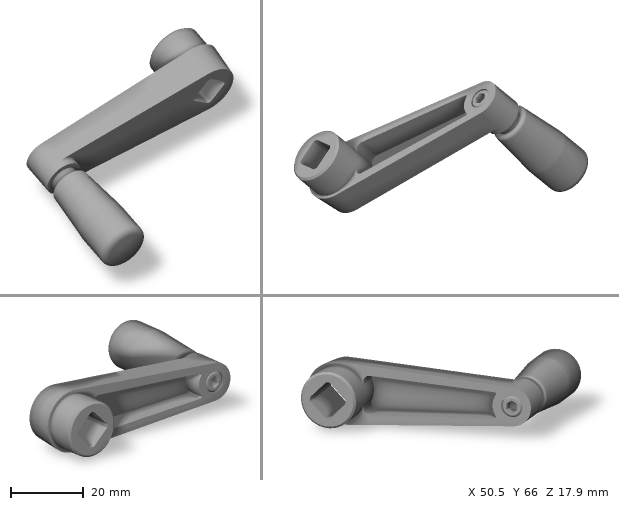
import cadquery as cq
import math

CRANK_RADIUS = 50.0

FRONT_X_AT_HUB = 8.7
FRONT_X_AT_TIP = 10.0
FRONT_BEND_OFFSET = 0.4
ARM_BACK_X = 17.9
HUB_BACK_RADIUS = 8.05
HUB_DRAFT_ANGLE = 5.7
TIP_RADIUS = 5.55

BOSS_RADIUS = 8.0
BOSS_CHAMFER = 0.6
BORE_SIDE = 8.0
BORE_CORNER_RADIUS = 5.15

POCKET_FLOOR_X = 15.85
POCKET_START = 7.3
POCKET_END = 45.55
POCKET_START_HALF_WIDTH = 5.7
POCKET_END_HALF_WIDTH = 3.7
POCKET_START_FILLET = 1.7
POCKET_END_FILLET = 0.65

COLLAR_END_X = 20.05
COLLAR_FILLET = 0.45

NECK_RADIUS = 4.0
GRIP_START_X = 22.5
GRIP_START_RADIUS = 5.55
GRIP_START_FILLET = 1.0
CONE_END_X = 38.5
GRIP_RADIUS = 7.0
ROUND_RADIUS = 1.8
DOME_RADIUS = 24.1
DOME_TIP_X = 50.5
STUD_RADIUS = 3.05
STUD_CHAMFER = 0.5
STUD_START_X = FRONT_X_AT_TIP
HEX_FLATS = 3.05
HEX_DEPTH = 3.0
HEX_TIP_DEPTH = 3.95


def section(x):
    """Workplane across X: local x is +Y, local y is +Z, extrusion towards +X."""
    return cq.Workplane("YZ", origin=(x, 0, 0))


def hull_section(x, hub_radius):
    """Outline of the arm at x: hub and tip circles joined by common tangents."""
    slope = (hub_radius - TIP_RADIUS) / CRANK_RADIUS
    rise = math.sqrt(1 - slope**2)
    hub_y, hub_z = -slope * hub_radius, rise * hub_radius
    tip_y, tip_z = -CRANK_RADIUS - slope * TIP_RADIUS, rise * TIP_RADIUS
    return (
        section(x)
        .moveTo(hub_y, hub_z)
        .lineTo(tip_y, tip_z)
        .threePointArc((-CRANK_RADIUS - TIP_RADIUS, 0), (tip_y, -tip_z))
        .lineTo(hub_y, -hub_z)
        .threePointArc((hub_radius, 0), (hub_y, hub_z))
        .close()
    )


def revolve_about_handle_axis(profile):
    """Turn an (x, radius) profile about the handle axis."""
    return profile.revolve(360, (0, 0, 0), (1, 0, 0)).translate((0, -CRANK_RADIUS, 0))


def arm_blank():
    """Drafted arm; its front face slopes from the hub to just past the handle axis."""
    draft_growth = ARM_BACK_X * math.tan(math.radians(HUB_DRAFT_ANGLE))
    front = hull_section(0, HUB_BACK_RADIUS + draft_growth).val()
    back = hull_section(ARM_BACK_X, HUB_BACK_RADIUS).val()
    blank = cq.Workplane(cq.Solid.makeLoft([front, back], True))

    bend_distance = CRANK_RADIUS + FRONT_BEND_OFFSET
    front_slope = (FRONT_X_AT_TIP - FRONT_X_AT_HUB) / bend_distance
    reach = 2 * CRANK_RADIUS
    keep = (
        cq.Workplane("XY")
        .polyline([
            (FRONT_X_AT_HUB - front_slope * reach, reach),
            (FRONT_X_AT_TIP, -bend_distance),
            (FRONT_X_AT_TIP, -reach),
            (ARM_BACK_X, -reach),
            (ARM_BACK_X, reach),
        ])
        .close()
        .extrude(reach, both=True)
    )
    return blank.intersect(keep)


def pocket():
    """Tapered pocket that stops at the boss and at the round handle seat."""
    trapezoid = (
        section(0)
        .polyline([
            (-POCKET_START, POCKET_START_HALF_WIDTH),
            (-POCKET_END, POCKET_END_HALF_WIDTH),
            (-POCKET_END, -POCKET_END_HALF_WIDTH),
            (-POCKET_START, -POCKET_START_HALF_WIDTH),
        ])
        .close()
        .extrude(POCKET_FLOOR_X)
    )
    trapezoid = trapezoid.edges("|X and >Y").fillet(POCKET_START_FILLET)
    trapezoid = trapezoid.edges("|X and <Y").fillet(POCKET_END_FILLET)
    seat = section(0).center(-CRANK_RADIUS, 0).circle(TIP_RADIUS).extrude(POCKET_FLOOR_X)
    boss = section(0).circle(BOSS_RADIUS).extrude(POCKET_FLOOR_X)
    return trapezoid.cut(seat).cut(boss)


def collar():
    """Round collar behind the tip, blended into the back face of the arm."""
    length = COLLAR_END_X - ARM_BACK_X
    cylinder = section(ARM_BACK_X).center(-CRANK_RADIUS, 0).circle(TIP_RADIUS).extrude(length)
    mid = COLLAR_FILLET * (1 - math.sqrt(0.5))
    blend = revolve_about_handle_axis(
        cq.Workplane("XY")
        .moveTo(ARM_BACK_X, 0)
        .lineTo(ARM_BACK_X, TIP_RADIUS + COLLAR_FILLET)
        .threePointArc((ARM_BACK_X + mid, TIP_RADIUS + mid), (ARM_BACK_X + COLLAR_FILLET, TIP_RADIUS))
        .lineTo(ARM_BACK_X + COLLAR_FILLET, 0)
        .close()
    )
    arm_footprint = hull_section(ARM_BACK_X, HUB_BACK_RADIUS).extrude(length)
    return cylinder.union(blend.intersect(arm_footprint))


def drive_bore():
    """Square through bore standing on its corner, with rounded-off corners."""
    square = section(0).transformed(rotate=(0, 0, 45)).rect(BORE_SIDE, BORE_SIDE).extrude(ARM_BACK_X)
    return square.intersect(section(0).circle(BORE_CORNER_RADIUS).extrude(ARM_BACK_X))


def make_crank_arm():
    """Arm with its boss and collar, pierced by the square bore and the stud hole."""
    boss = section(0).circle(BOSS_RADIUS).extrude(ARM_BACK_X).faces("<X").chamfer(BOSS_CHAMFER)
    arm = arm_blank().cut(pocket()).union(boss).union(collar())
    stud_hole = section(0).center(-CRANK_RADIUS, 0).circle(STUD_RADIUS).extrude(COLLAR_END_X)
    return arm.cut(drive_bore()).cut(stud_hole)


def spindle():
    """Neck and the stud that fills the hole in the arm."""
    return revolve_about_handle_axis(
        cq.Workplane("XY")
        .moveTo(STUD_START_X, 0)
        .lineTo(STUD_START_X, STUD_RADIUS - STUD_CHAMFER)
        .lineTo(STUD_START_X + STUD_CHAMFER, STUD_RADIUS)
        .lineTo(COLLAR_END_X, STUD_RADIUS)
        .lineTo(COLLAR_END_X, NECK_RADIUS)
        .lineTo(GRIP_START_X, NECK_RADIUS)
        .lineTo(GRIP_START_X, 0)
        .close()
    )


def grip():
    """Conical, then cylindrical grip with a rounded rim and a domed end."""
    round_center_radius = GRIP_RADIUS - ROUND_RADIUS
    rim_angle = math.asin(round_center_radius / (DOME_RADIUS - ROUND_RADIUS))
    dome_center_x = DOME_TIP_X - DOME_RADIUS
    round_center_x = dome_center_x + (DOME_RADIUS - ROUND_RADIUS) * math.cos(rim_angle)
    round_mid_angle = (rim_angle + math.pi / 2) / 2

    def on_round(angle):
        return (
            round_center_x + ROUND_RADIUS * math.cos(angle),
            round_center_radius + ROUND_RADIUS * math.sin(angle),
        )

    def on_dome(angle):
        return (
            dome_center_x + DOME_RADIUS * math.cos(angle),
            DOME_RADIUS * math.sin(angle),
        )

    body = revolve_about_handle_axis(
        cq.Workplane("XY")
        .moveTo(GRIP_START_X, 0)
        .lineTo(GRIP_START_X, GRIP_START_RADIUS)
        .lineTo(CONE_END_X, GRIP_RADIUS)
        .lineTo(round_center_x, GRIP_RADIUS)
        .threePointArc(on_round(round_mid_angle), on_round(rim_angle))
        .threePointArc(on_dome(rim_angle / 2), (DOME_TIP_X, 0))
        .close()
    )
    return body.faces("<X").edges().fillet(GRIP_START_FILLET)


def hex_socket():
    """Hexagonal socket with a conical bottom, two of its corners pointing up and down."""
    corner_radius = HEX_FLATS / math.sqrt(3)
    prism = (
        section(STUD_START_X)
        .center(-CRANK_RADIUS, 0)
        .transformed(rotate=(0, 0, 90))
        .polygon(6, 2 * corner_radius)
        .extrude(HEX_TIP_DEPTH)
    )
    drill = revolve_about_handle_axis(
        cq.Workplane("XY")
        .moveTo(STUD_START_X, 0)
        .lineTo(STUD_START_X, corner_radius)
        .lineTo(STUD_START_X + HEX_DEPTH, corner_radius)
        .lineTo(STUD_START_X + HEX_TIP_DEPTH, 0)
        .close()
    )
    return prism.intersect(drill)


def make_handle():
    """Grip, neck and stud as one turned body with a hexagonal socket."""
    return spindle().union(grip()).cut(hex_socket())


crank_arm = make_crank_arm()
handle = make_handle()
result = cq.Compound.makeCompound([crank_arm.val(), handle.val()])